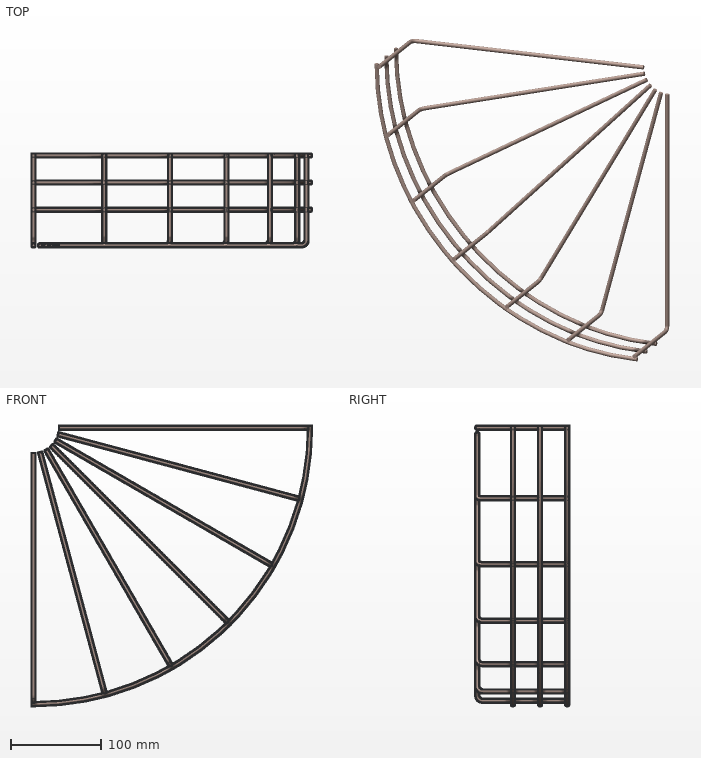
import cadquery as cq
import math


wire_diameter = 4.7
overall_span = 310.55
overall_depth = 104.1
spoke_start = 28.0
bend_radius = 6.0
weld_spacing = 3.8
arc_count = 3
arc_pitch = 30.0
spoke_count = 7
sector_angle = 90.0

wire_radius = wire_diameter / 2
depth = overall_depth - wire_diameter
arc_radius = overall_span - wire_diameter
leg_radius = arc_radius - weld_spacing
leg_end = depth + wire_radius
spoke_step = sector_angle / (spoke_count - 1)


def make_spoke(angle):
    """Round wire running radially, then bent back along +Y; angle is measured from +X to -Z."""
    bend_shift = bend_radius * math.sqrt(0.5)
    bend_middle = (leg_radius - bend_radius + bend_shift, bend_radius - bend_shift)
    path = (
        cq.Workplane("XY")
        .moveTo(spoke_start, 0)
        .lineTo(leg_radius - bend_radius, 0)
        .threePointArc(bend_middle, (leg_radius, bend_radius))
        .lineTo(leg_radius, leg_end)
    )
    spoke = cq.Workplane("YZ", origin=(spoke_start, 0, 0)).circle(wire_radius).sweep(path)
    return spoke.rotate((0, 0, 0), (0, 1, 0), angle)


def make_arc_wire(y):
    """Quarter-circle wire at depth y, with short straight ends flush with the outer spokes."""
    profile = cq.Workplane("XY", origin=(arc_radius, y, 0)).circle(wire_radius)
    curve = profile.revolve(sector_angle, (-arc_radius, 0), (-arc_radius, 1))
    upper_end = cq.Workplane("XY", origin=(arc_radius, y, 0)).circle(wire_radius).extrude(wire_radius)
    lower_end = cq.Workplane("YZ", origin=(0, y, -arc_radius)).circle(wire_radius).extrude(-wire_radius)
    return curve.union(upper_end).union(lower_end)


result = make_arc_wire(depth)
for arc_index in range(1, arc_count):
    result = result.union(make_arc_wire(depth - arc_index * arc_pitch))
for spoke_index in range(spoke_count):
    result = result.union(make_spoke(spoke_index * spoke_step))